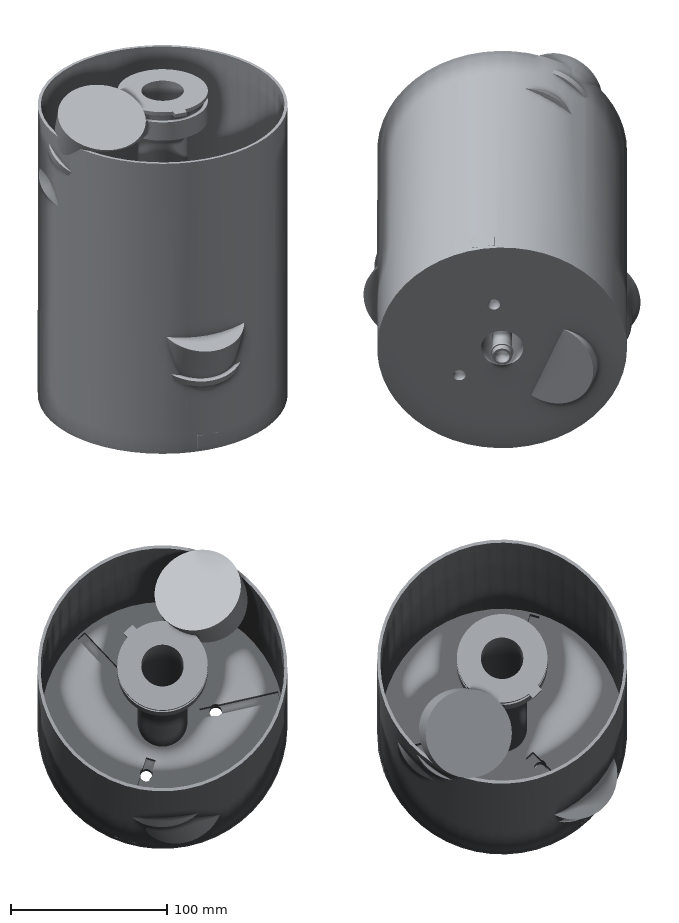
import cadquery as cq
import math

CAN_DIAMETER = 160
CAN_BORE = 156
CAN_HEIGHT = 211
FLOOR_THICKNESS = 14

ARM_ANGLES = (0, 120, 240)
CABLE_HOLE_DIAMETER = 8
CABLE_HOLE_RADIUS = 35
GROOVE_WIDTH = 6.35
GROOVE_DEPTH = 6.35
GROOVE_INNER_RADIUS = 25
GROOVE_OUTER_RADIUS = 76.6

PAD_WIDTH = 14.6
PAD_HEIGHT = 9
PAD_BOTTOM = 2.5
PAD_DEPTH = (CAN_DIAMETER - CAN_BORE) / 2

BOTTLE_COUNT = 3
GOLDEN_ANGLE = 137.5
BOTTLE_ORBIT_RADIUS = 50
BOTTLE_PITCH = 66.65
LOWEST_BOTTLE_HEIGHT = 43.7
BOTTLE_TILT = 20
BOTTLE_DIAMETER = 56.8
BOTTLE_LENGTH = 95
FLANGE_DIAMETER = 62.2
FLANGE_BOTTOM = 65
FLANGE_THICKNESS = 4.6
FLARE_DIAMETER = 66.64
FLARE_BOTTOM = 36.5
FLARE_HEIGHT = 13

POST_DIAMETER = 32
POST_BORE = 27.2
POST_TOP = 221
HEAD_DIAMETER = 58
HEAD_HEIGHT = 20.7
HEAD_RIM = 2.6
HEAD_GROOVE_DIAMETER = 52.7
HEAD_GROOVE_HEIGHT = 4.8
TAB_WIDTH = 8
TAB_REACH = 32.5

STEM_DIAMETER = 12.7
STEM_BORE = 9.53
STEM_BOTTOM = -9.4
COLLAR_DIAMETER = 14.4
COLLAR_BOTTOM = -5.3
COLLAR_HEIGHT = 1.6


def rod(diameter, bottom, height):
    """Upright cylinder on the Z axis."""
    return cq.Workplane("XY").workplane(offset=bottom).circle(diameter / 2).extrude(height)


def place_on_spiral(shape, index):
    """Tilt an upright boss about its middle and move it to its place on the spiral."""
    angle = math.radians(index * GOLDEN_ANGLE)
    centre = (
        BOTTLE_ORBIT_RADIUS * math.cos(angle),
        BOTTLE_ORBIT_RADIUS * math.sin(angle),
        LOWEST_BOTTLE_HEIGHT + index * BOTTLE_PITCH,
    )
    return (
        shape.translate((0, 0, -BOTTLE_LENGTH / 2))
        .rotate((0, 0, 0), (0, 1, 0), BOTTLE_TILT)
        .translate(centre)
    )


def bottle_barrel():
    """Plain cylinder of a boss, upright."""
    return rod(BOTTLE_DIAMETER, 0, BOTTLE_LENGTH)


def bottle():
    """Whole boss, upright: the barrel with a flange near its top and a flared skirt lower down."""
    flange = rod(FLANGE_DIAMETER, FLANGE_BOTTOM, FLANGE_THICKNESS)
    flare = (
        cq.Workplane("XY")
        .workplane(offset=FLARE_BOTTOM)
        .circle(FLARE_DIAMETER / 2)
        .workplane(offset=FLARE_HEIGHT)
        .circle(BOTTLE_DIAMETER / 2)
        .loft()
    )
    return bottle_barrel().union(flange).union(flare)


def cable_run(angle):
    """Radial groove in the floor, with a hole down through the floor near its inner end."""
    groove_length = GROOVE_OUTER_RADIUS - GROOVE_INNER_RADIUS
    groove = (
        cq.Workplane("XY")
        .box(groove_length, GROOVE_WIDTH, GROOVE_DEPTH, centered=(False, True, False))
        .translate((GROOVE_INNER_RADIUS, 0, FLOOR_THICKNESS - GROOVE_DEPTH))
    )
    hole = rod(CABLE_HOLE_DIAMETER, 0, FLOOR_THICKNESS).translate((CABLE_HOLE_RADIUS, 0, 0))
    return groove.union(hole).rotate((0, 0, 0), (0, 0, 1), angle)


def wall_pad(angle):
    """Flat rectangular pad whose outer face is tangent to the outside of the wall."""
    return (
        cq.Workplane("XY")
        .box(PAD_DEPTH, PAD_WIDTH, PAD_HEIGHT, centered=(False, True, False))
        .translate((CAN_DIAMETER / 2 - PAD_DEPTH, 0, PAD_BOTTOM))
        .rotate((0, 0, 0), (0, 0, 1), angle)
    )


housing = rod(CAN_DIAMETER, 0, CAN_HEIGHT)
for boss_index in range(BOTTLE_COUNT):
    housing = housing.union(place_on_spiral(bottle(), boss_index))
housing = housing.cut(rod(CAN_BORE, FLOOR_THICKNESS, CAN_HEIGHT - FLOOR_THICKNESS))
housing = housing.cut(rod(POST_BORE, 0, FLOOR_THICKNESS))
for arm_angle in ARM_ANGLES:
    housing = housing.cut(cable_run(arm_angle)).union(wall_pad(arm_angle))

head_groove_bottom = POST_TOP - HEAD_RIM - HEAD_GROOVE_HEIGHT
head_groove = rod(HEAD_DIAMETER, head_groove_bottom, HEAD_GROOVE_HEIGHT).cut(
    rod(HEAD_GROOVE_DIAMETER, head_groove_bottom, HEAD_GROOVE_HEIGHT)
)
tab = (
    cq.Workplane("XY")
    .box(TAB_REACH, TAB_WIDTH, HEAD_RIM, centered=(False, True, False))
    .translate((0, 0, POST_TOP - HEAD_RIM))
)
topmost_barrel = place_on_spiral(bottle_barrel(), BOTTLE_COUNT - 1)
post = (
    rod(POST_DIAMETER, FLOOR_THICKNESS, POST_TOP - FLOOR_THICKNESS)
    .union(rod(HEAD_DIAMETER, POST_TOP - HEAD_HEIGHT, HEAD_HEIGHT))
    .cut(head_groove)
    .union(tab)
    .cut(rod(POST_BORE, FLOOR_THICKNESS, POST_TOP - FLOOR_THICKNESS))
    .cut(topmost_barrel)
)

stem = (
    rod(STEM_DIAMETER, STEM_BOTTOM, FLOOR_THICKNESS - STEM_BOTTOM)
    .union(rod(COLLAR_DIAMETER, COLLAR_BOTTOM, COLLAR_HEIGHT))
    .cut(rod(STEM_BORE, STEM_BOTTOM, FLOOR_THICKNESS - STEM_BOTTOM))
)

result = cq.Compound.makeCompound([*housing.vals(), *post.vals(), *stem.vals()])